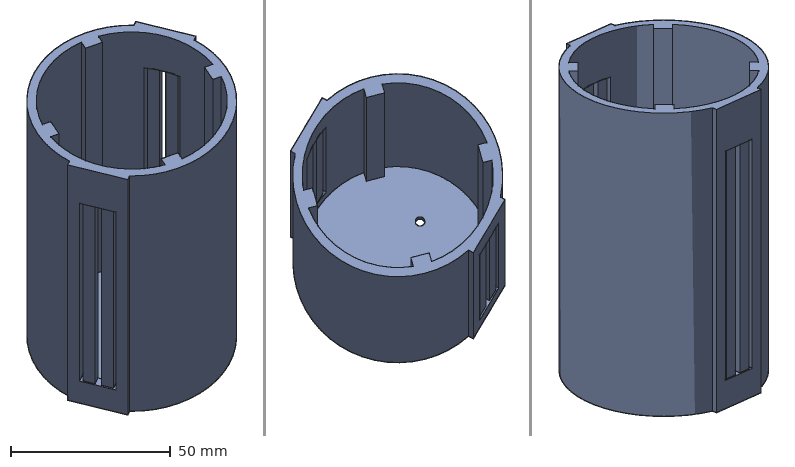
import cadquery as cq

height = 106.0
outer_diameter = 65.7
wall = 3.0
floor_thickness = 3.0
inner_radius = outer_diameter / 2 - wall

depth_over_pads = 66.0
pad_width = 19.9

rib_width = 5.9
rib_projection = 3.1
rib_angles = (45, 135, 225, 315)

window_width = 12.0
window_height = 80.0
window_bottom = 10.0
bar_width = 4.0
bar_spacing = 6.0
bar_thickness = 2.5
bar_recess = 0.5

hole_diameter = 3.0
hole_spacing = 28.0


def upright_block(width, depth, block_height, x, y, bottom):
    """Box centred on x and y, standing on the given bottom level."""
    return (
        cq.Workplane("XY")
        .box(width, depth, block_height, centered=(True, True, False))
        .translate((x, y, bottom))
    )


def make_cup():
    """Round body with two pads, hollowed down to the floor."""
    body = cq.Workplane("XY").circle(outer_diameter / 2).extrude(height)
    body = body.union(upright_block(pad_width, depth_over_pads, height, 0, 0, 0))
    cavity = (
        cq.Workplane("XY")
        .workplane(offset=floor_thickness)
        .circle(inner_radius)
        .extrude(height - floor_thickness)
    )
    return body.cut(cavity)


def make_rib(angle):
    """Guide rib whose root is sunk halfway into the wall."""
    root_radius = inner_radius + wall / 2
    tip_radius = inner_radius - rib_projection
    rib = upright_block(
        root_radius - tip_radius, rib_width, height, (root_radius + tip_radius) / 2, 0, 0
    )
    return rib.rotate((0, 0, 0), (0, 0, 1), angle)


result = make_cup()

for rib_angle in rib_angles:
    result = result.union(make_rib(rib_angle))

result = result.cut(
    upright_block(window_width, depth_over_pads, window_height, 0, 0, window_bottom)
)

bar_offset = depth_over_pads / 2 - bar_recess - bar_thickness / 2
for side in (-1, 1):
    for bar_x in (-bar_spacing / 2, bar_spacing / 2):
        bar = upright_block(
            bar_width, bar_thickness, window_height, bar_x, side * bar_offset, window_bottom
        )
        result = result.union(bar)

floor_holes = (
    cq.Workplane("XY")
    .pushPoints([(-hole_spacing / 2, 0), (hole_spacing / 2, 0)])
    .circle(hole_diameter / 2)
    .extrude(floor_thickness)
)
result = result.cut(floor_holes)